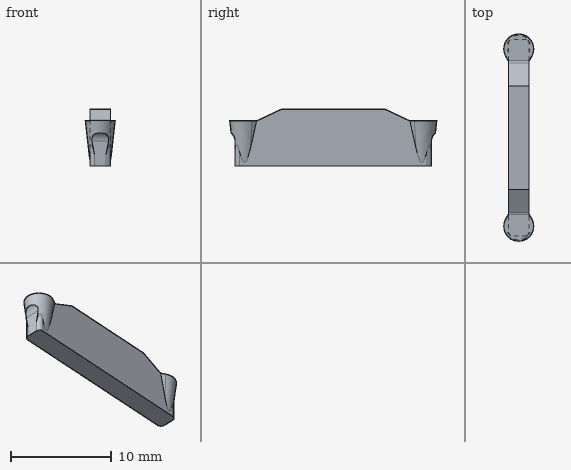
import cadquery as cq
import math

length = 20.65
height = 5.68
head_diameter = 3.0

body_width = 2.06
body_length = 19.57
body_corner_radius = 0.45
crown_length = 10.32
slope_foot_y = 7.55
slope_blend_radius = 0.54

head_top_z = 4.55
cone_foot_z = 0.41
flare_angle = 30.0
relief_start_z = 2.48
relief_radius = 1.07

head_radius = head_diameter / 2
head_y = length / 2 - head_radius
body_end_y = body_length / 2
taper = (head_radius - body_width / 2) / (head_top_z - cone_foot_z)
foot_radius = head_radius - taper * head_top_z


def make_body():
    half_crown = crown_length / 2
    outline = [
        (-body_end_y, 0),
        (body_end_y, 0),
        (body_end_y, head_top_z),
        (slope_foot_y, head_top_z),
        (half_crown, height),
        (-half_crown, height),
        (-slope_foot_y, head_top_z),
        (-body_end_y, head_top_z),
    ]
    body = (
        cq.Workplane("YZ")
        .polyline(outline)
        .close()
        .extrude(body_width / 2, both=True)
    )
    body = body.edges("|Z").fillet(body_corner_radius)
    for side in (-1, 1):
        foot = cq.selectors.NearestToPointSelector((0, side * slope_foot_y, head_top_z))
        body = body.edges(foot).fillet(slope_blend_radius)
    return body


def flare_points(radius):
    """Kite from the head centre, tangent to a circle and pointing toward the body."""
    angle = math.radians(flare_angle)
    tangent_x = radius * math.cos(angle)
    tangent_y = head_y - radius * math.sin(angle)
    apex_y = head_y - radius / math.sin(angle)
    return [(0, head_y), (tangent_x, tangent_y), (0, apex_y), (-tangent_x, tangent_y)]


def make_head():
    """Tapered round head at the +Y end, with its flared neck."""
    cone = (
        cq.Workplane("XY")
        .center(0, head_y)
        .circle(foot_radius)
        .workplane(offset=head_top_z)
        .circle(head_radius)
        .loft()
    )
    flare = (
        cq.Workplane("XY")
        .polyline(flare_points(foot_radius))
        .close()
        .workplane(offset=head_top_z)
        .polyline(flare_points(head_radius))
        .close()
        .loft(ruled=True)
    )
    return cone.union(flare)


def make_relief():
    """Clearance under the head, flush with the body end and rising in a concave arc."""
    arc_mid = math.radians(45)
    return (
        cq.Workplane("YZ")
        .moveTo(body_end_y, 0)
        .lineTo(body_end_y, relief_start_z)
        .threePointArc(
            (
                body_end_y + relief_radius * (1 - math.cos(arc_mid)),
                relief_start_z + relief_radius * math.sin(arc_mid),
            ),
            (body_end_y + relief_radius, relief_start_z + relief_radius),
        )
        .lineTo(body_end_y + relief_radius, 0)
        .close()
        .extrude(head_radius, both=True)
    )


head = make_head().cut(make_relief())
result = make_body().union(head).union(head.mirror("XZ"))